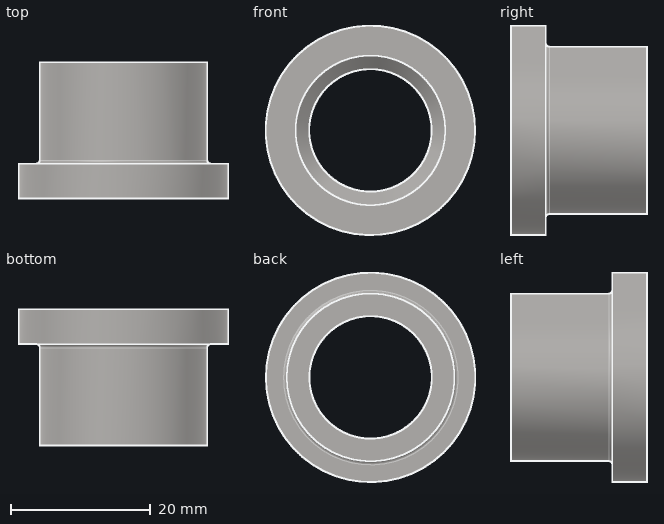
import cadquery as cq

flange_diameter = 30.0
flange_thickness = 5.0
total_length = 19.5
sleeve_diameter = 24.0
bore_diameter = 17.5
countersink_diameter = 21.42
root_fillet_radius = 0.48

flange_radius = flange_diameter / 2
sleeve_radius = sleeve_diameter / 2
bore_radius = bore_diameter / 2
countersink_radius = countersink_diameter / 2
countersink_depth = countersink_radius - bore_radius

half_section = (
    cq.Workplane("XY")
    .moveTo(countersink_radius, 0)
    .lineTo(flange_radius, 0)
    .lineTo(flange_radius, flange_thickness)
    .lineTo(sleeve_radius + root_fillet_radius, flange_thickness)
    .tangentArcPoint((-root_fillet_radius, root_fillet_radius))
    .lineTo(sleeve_radius, total_length)
    .lineTo(bore_radius, total_length)
    .lineTo(bore_radius, countersink_depth)
    .close()
)

axis_start = (0, 0, 0)
axis_end = (0, 1, 0)
result = half_section.revolve(360, axis_start, axis_end)